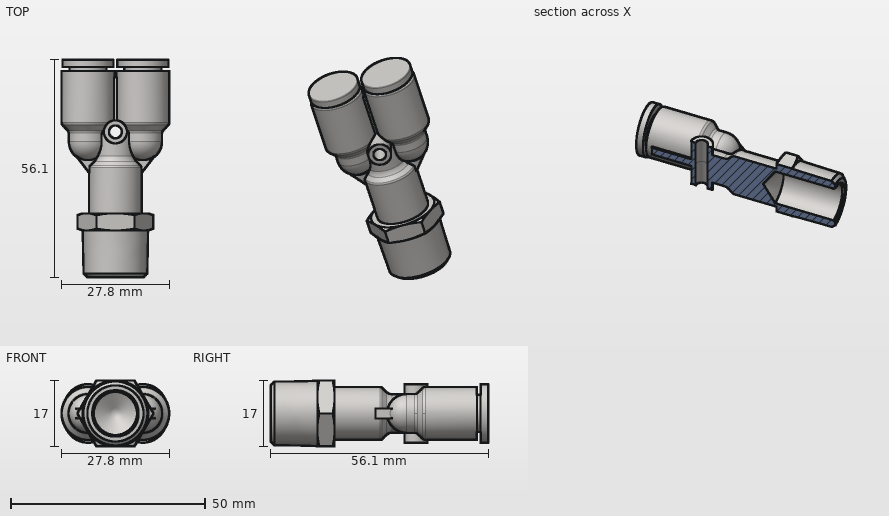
import cadquery as cq
import math

LENGTH = 56.1

THREAD_TIP_R = 8.25
THREAD_ROOT_R = 8.45
THREAD_CHAMFER = 1.0

HEX_SIDES = 6
HEX_FLATS = 17.0
HEX_START = 12.05
HEX_END = 16.5
HEX_CHAMFER_ANGLE = 20.0

BORE_R = 5.55
BORE_CHAMFER = 0.45
BORE_DEPTH = 16.85
BORE_CONE_ANGLE = 118.0

BODY_R = 6.85
NECK_R = 5.0

STEM_SHOULDER_START = 28.55
STEM_RIM_FILLET = 0.75
STEM_NECK_FILLET = 2.0
STEM_NECK_END = 38.3
STEM_END_FILLET = 1.7

BRANCH_X = 7.05
BALL_Y = 35.0
BRANCH_SHOULDER_START = 37.55
BRANCH_SHOULDER_END = 39.5
BRANCH_SHOULDER_FILLET = 1.0
BRANCH_END = 53.2
BRANCH_RIM_FILLET = 0.15

COLLAR_NECK_R = 4.8
COLLAR_HALF_X = 6.6
COLLAR_HALF_Z = 7.6
COLLAR_THICKNESS = 1.95
COLLAR_FILLET = 0.15

WEB_THICKNESS = 2.6
WEB_START = 27.0
WEB_CORNER_X = 10.15
WEB_CORNER_Y = 31.3
WEB_END = 51.5

BOSS_Y = 37.5
BOSS_R = 3.0
BOSS_HOLE_R = 1.6
BOSS_HEIGHT = 15.15


def revolved(points):
    """Turn an outline of (radius, y) points about the Y axis."""
    return cq.Workplane("XY").polyline(points).close().revolve(360, (0, 0, 0), (0, 1, 0))


def edges_at(solid, y):
    """Select the edges of a turned solid that lie in the plane at height y."""
    reach = LENGTH
    margin = 0.005
    return solid.edges(cq.selectors.BoxSelector((-reach, y - margin, -reach), (reach, y + margin, reach)))


def along_y(start):
    """Workplane facing +Y at the given height."""
    return cq.Workplane(cq.Plane(origin=(0, start, 0), xDir=(1, 0, 0), normal=(0, 1, 0)))


def make_thread():
    return revolved([
        (0, 0),
        (THREAD_TIP_R - THREAD_CHAMFER, 0),
        (THREAD_TIP_R, THREAD_CHAMFER),
        (THREAD_ROOT_R, HEX_START),
        (0, HEX_START),
    ])


def make_hexagon():
    flat_r = HEX_FLATS / 2
    corner_r = flat_r / math.cos(math.pi / HEX_SIDES)
    drop = (corner_r - flat_r) * math.tan(math.radians(HEX_CHAMFER_ANGLE))
    prism = along_y(HEX_START).polygon(HEX_SIDES, 2 * corner_r).extrude(HEX_END - HEX_START)
    envelope = revolved([
        (0, HEX_START),
        (flat_r, HEX_START),
        (corner_r, HEX_START + drop),
        (corner_r, HEX_END - drop),
        (flat_r, HEX_END),
        (0, HEX_END),
    ])
    return prism.intersect(envelope)


def make_stem():
    shoulder_end = STEM_SHOULDER_START + BODY_R - NECK_R
    stem = revolved([
        (0, HEX_END),
        (BODY_R, HEX_END),
        (BODY_R, STEM_SHOULDER_START),
        (NECK_R, shoulder_end),
        (NECK_R, STEM_NECK_END),
        (0, STEM_NECK_END),
    ])
    stem = edges_at(stem, STEM_SHOULDER_START).fillet(STEM_RIM_FILLET)
    stem = edges_at(stem, shoulder_end).fillet(STEM_NECK_FILLET)
    return edges_at(stem, STEM_NECK_END).fillet(STEM_END_FILLET)


def make_collar():
    start = LENGTH - COLLAR_THICKNESS
    neck = along_y(BRANCH_END).circle(COLLAR_NECK_R).extrude(start - BRANCH_END)
    collar = along_y(start).ellipse(COLLAR_HALF_X, COLLAR_HALF_Z).extrude(COLLAR_THICKNESS)
    return neck.union(collar.faces(">Y").edges().fillet(COLLAR_FILLET))


def make_branch():
    """One outlet branch, built on the Y axis."""
    body = revolved([
        (0, BALL_Y),
        (NECK_R, BALL_Y),
        (NECK_R, BRANCH_SHOULDER_START),
        (BODY_R, BRANCH_SHOULDER_END),
        (BODY_R, BRANCH_END),
        (0, BRANCH_END),
    ])
    body = edges_at(body, BRANCH_SHOULDER_START).fillet(BRANCH_SHOULDER_FILLET)
    body = edges_at(body, BRANCH_SHOULDER_END).fillet(BRANCH_SHOULDER_FILLET)
    body = edges_at(body, BRANCH_END).fillet(BRANCH_RIM_FILLET)
    ball = cq.Workplane("XY", origin=(0, BALL_Y, 0)).sphere(NECK_R, direct=(0, 1, 0))
    return body.union(ball).union(make_collar())


def make_web():
    right_side = [
        (BODY_R, WEB_START),
        (WEB_CORNER_X, WEB_CORNER_Y),
        (BRANCH_X, BALL_Y),
        (BRANCH_X, WEB_END),
    ]
    left_side = [(-x, y) for x, y in reversed(right_side)]
    return (
        cq.Workplane("XY")
        .polyline(right_side + left_side)
        .close()
        .extrude(WEB_THICKNESS / 2, both=True)
    )


def boss_cylinder(radius):
    return cq.Workplane("XY").center(0, BOSS_Y).circle(radius).extrude(BOSS_HEIGHT / 2, both=True)


def make_bore():
    cone_height = BORE_R / math.tan(math.radians(BORE_CONE_ANGLE / 2))
    return revolved([
        (0, 0),
        (BORE_R + BORE_CHAMFER, 0),
        (BORE_R, BORE_CHAMFER),
        (BORE_R, BORE_DEPTH),
        (0, BORE_DEPTH + cone_height),
    ])


result = make_thread().union(make_hexagon()).union(make_stem())
for side in (-1, 1):
    result = result.union(make_branch().translate((side * BRANCH_X, 0, 0)))
result = result.union(make_web()).union(boss_cylinder(BOSS_R))
result = result.cut(boss_cylinder(BOSS_HOLE_R)).cut(make_bore())